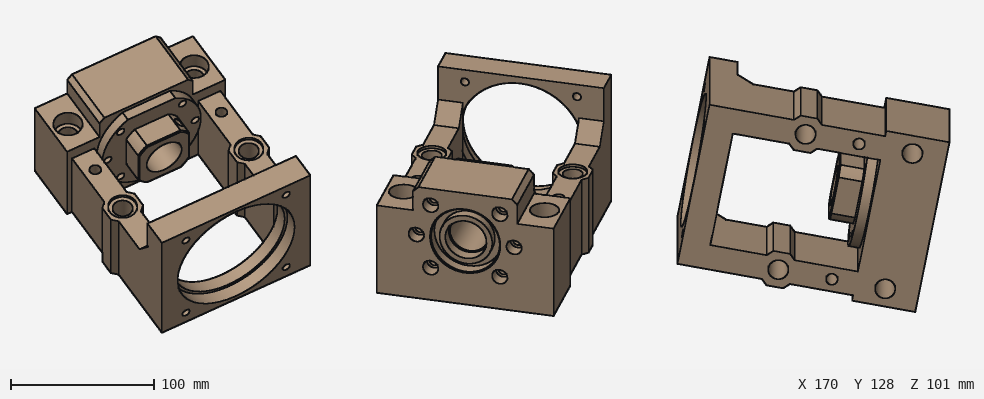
import cadquery as cq

length = 170.0
width = 128.0
height = 101.0
axis_z = 50.8
overlap = 1.7

block_length = 45.0
shoulder_z = 70.0
block_top_z = 89.0
crown_width = 75.5
crown_chamfer = 3.9

flange_diameter = 79.9
flange_end_x = 52.5
flange_flat_height = 35.0
hub_across_flats = 41.1
hub_corner_diameter = 49.3
hub_end_x = 70.0
hub_end_chamfer = 0.8
set_screw_x = 60.5
set_screw_diameter = 7.1
set_screw_angle = -45

recess_diameter = 49.5
recess_depth = 9.2
recess_mouth_diameter = 51.0
seat_diameter = 38.0
seat_setback = 2.0
bore_diameter = 29.8
bore_depth = 11.0
through_diameter = 28.2

screw_circle_radius = 35.4
screw_angles = (-45, 0, 45, 135, 180, 225)
screw_head_diameter = 11.0
screw_head_depth = 10.0
screw_diameter = 7.0
screw_thread_diameter = 6.0

plate_thickness = 20.0
plate_width = 120.0
motor_bore_diameter = 90.1
motor_pilot_diameter = 94.5
motor_pilot_depth = plate_thickness / 2
motor_screw_pitch = 81.1
motor_screw_diameter = 5.8

arm_inner_y = 42.0
arm_top_z = 60.0
gusset_length = 11.0
gusset_top_z = 74.5

mount_y = 51.0
block_mount_x = 24.0
pad_x = 100.0
pad_length = 20.0
pad_chamfer = 4.0
mount_diameter = 14.1
mount_head_diameter = 20.4
block_head_depth = 12.4
pad_head_depth = 2.0
dowel_x = 61.9
dowel_diameter = 8.2

plate_x = length - plate_thickness
arm_outer_y = plate_width / 2
pad_width = 2 * (width / 2 - mount_y)


def box(x_start, x_end, y_start, y_end, z_start, z_end):
    """Box between opposite corners."""
    size = (x_end - x_start, y_end - y_start, z_end - z_start)
    return cq.Workplane("XY").box(*size, centered=False).translate((x_start, y_start, z_start))


def axial_cylinder(diameter, x_start, x_end, y=0, z=axis_z):
    """Cylinder along X."""
    face = cq.Workplane("YZ", origin=(x_start, y, z))
    return face.circle(diameter / 2).extrude(x_end - x_start)


def vertical_cylinder(diameter, x, y, z_start, z_end):
    """Cylinder along Z."""
    face = cq.Workplane("XY", origin=(x, y, z_start))
    return face.circle(diameter / 2).extrude(z_end - z_start)


def bearing_block():
    """Low shouldered block with a chamfered crown in the middle."""
    base = box(0, block_length, -width / 2, width / 2, 0, shoulder_z)
    crown = box(0, block_length, -crown_width / 2, crown_width / 2, 0, block_top_z)
    return base.union(crown.edges("|X and >Z").chamfer(crown_chamfer))


def flange():
    """Round flange with a flat on top."""
    disc = axial_cylinder(flange_diameter, block_length - overlap, flange_end_x)
    radius = flange_diameter / 2
    flat_z = axis_z + flange_flat_height
    return disc.intersect(box(0, length, -radius, radius, axis_z - radius, flat_z))


def hub():
    """Square clamping hub with round corners and a chamfered end."""
    square = cq.Workplane("YZ", origin=(flange_end_x - overlap, 0, axis_z))
    square = square.rect(hub_across_flats, hub_across_flats).extrude(hub_end_x - flange_end_x + overlap)
    rounded = square.intersect(axial_cylinder(hub_corner_diameter, 0, hub_end_x))
    return rounded.faces(">X").chamfer(hub_end_chamfer)


def motor_plate():
    """Upright plate at the far end."""
    return box(plate_x, length, -plate_width / 2, plate_width / 2, 0, height)


def side_arm(side):
    """Arm from block to plate with a gusset and a mounting pad; side is +1 or -1."""
    outline = [
        (block_length - overlap, 0),
        (plate_x + overlap, 0),
        (plate_x + overlap, gusset_top_z),
        (plate_x, gusset_top_z),
        (plate_x - gusset_length, arm_top_z),
        (block_length - overlap, arm_top_z),
    ]
    arm = cq.Workplane("XZ").polyline(outline).close().extrude(arm_inner_y - arm_outer_y)
    arm = arm.translate((0, arm_inner_y, 0))
    pad = box(pad_x - pad_length / 2, pad_x + pad_length / 2,
              mount_y - pad_width / 2, mount_y + pad_width / 2, 0, arm_top_z)
    arm = arm.union(pad.edges("|Z").chamfer(pad_chamfer))
    return arm if side > 0 else arm.mirror("XZ")


def axial_cone(start_diameter, end_diameter, x_start):
    """45 degree cone along X, narrowing from x_start."""
    cone_length = (start_diameter - end_diameter) / 2
    cone = cq.Solid.makeCone(start_diameter / 2, end_diameter / 2, cone_length,
                             cq.Vector(x_start, 0, axis_z), cq.Vector(1, 0, 0))
    return cq.Workplane(cone)


def spindle_bore():
    """Stepped bore, with an annular recess around a bearing seat ring."""
    cutter = axial_cylinder(through_diameter, 0, hub_end_x)
    cutter = cutter.union(axial_cylinder(bore_diameter, 0, bore_depth))
    cutter = cutter.union(axial_cone(bore_diameter, through_diameter, bore_depth))
    recess = axial_cylinder(recess_diameter, 0, recess_depth)
    recess = recess.union(axial_cone(recess_mouth_diameter, recess_diameter, 0))
    recess = recess.cut(axial_cylinder(seat_diameter, seat_setback, recess_depth))
    return cutter.union(recess)


def block_screw(angle):
    """Counterbored screw hole through the block and flange."""
    head = axial_cylinder(screw_head_diameter, 0, screw_head_depth)
    shank = axial_cylinder(screw_diameter, 0, block_length)
    thread = axial_cylinder(screw_thread_diameter, 0, flange_end_x)
    hole = head.union(shank).union(thread).translate((0, screw_circle_radius, 0))
    return hole.rotate((0, 0, axis_z), (1, 0, axis_z), angle)


def set_screw():
    """Set screw hole entering the upper +Y corner of the hub."""
    hole = vertical_cylinder(set_screw_diameter, set_screw_x, 0, axis_z, axis_z + hub_corner_diameter)
    return hole.rotate((0, 0, axis_z), (1, 0, axis_z), set_screw_angle)


def mount_hole(x, y, top_z, head_depth):
    """Vertical counterbored hole."""
    head = vertical_cylinder(mount_head_diameter, x, y, top_z - head_depth, top_z)
    return head.union(vertical_cylinder(mount_diameter, x, y, 0, top_z))


result = bearing_block().union(flange()).union(hub()).union(motor_plate())
for side in (1, -1):
    result = result.union(side_arm(side))

result = result.cut(axial_cylinder(motor_bore_diameter, plate_x, length))
result = result.cut(axial_cylinder(motor_pilot_diameter, length - motor_pilot_depth, length))
for y_side in (1, -1):
    for z_side in (1, -1):
        screw_y = y_side * motor_screw_pitch / 2
        screw_z = axis_z + z_side * motor_screw_pitch / 2
        result = result.cut(axial_cylinder(motor_screw_diameter, plate_x, length, screw_y, screw_z))

result = result.cut(spindle_bore()).cut(set_screw())
for angle in screw_angles:
    result = result.cut(block_screw(angle))

for side in (1, -1):
    y = side * mount_y
    result = result.cut(mount_hole(block_mount_x, y, shoulder_z, block_head_depth))
    result = result.cut(mount_hole(pad_x, y, arm_top_z, pad_head_depth))
    result = result.cut(vertical_cylinder(dowel_diameter, dowel_x, y, 0, arm_top_z))